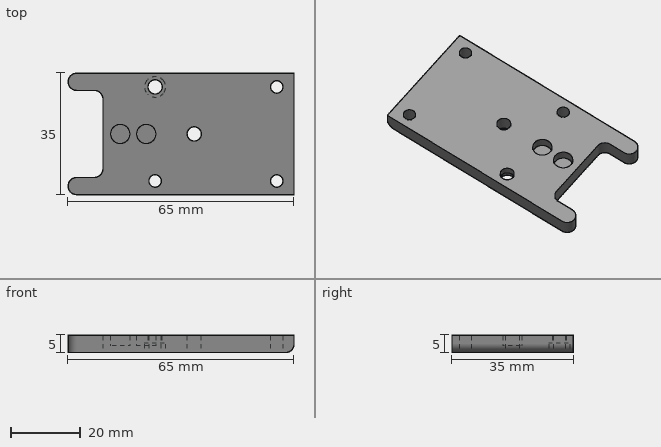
import cadquery as cq

length = 65.0
width = 35.0
thickness = 5.0
bottom_edge_radius = 2.5

notch_depth = 10.0
arm_width = 5.0
notch_width = width - 2 * arm_width
notch_corner_radius = 2.5

small_hole_diameter = 3.5
large_hole_diameter = 4.0
hole_row_offset = 13.5
left_hole_x = 25.0
right_hole_x = 60.0
center_hole_x = 36.3

counterbore_diameter = 6.0
counterbore_ledge = 2.3
counterbore_position = (left_hole_x, hole_row_offset)

pocket_diameter = 5.5
pocket_depth = 3.0
pocket_positions = [(15.0, 0), (22.5, 0)]


def make_plate():
    """Rectangular plate with its lower right edge rounded."""
    plate = cq.Workplane("XY").box(length, width, thickness, centered=(False, True, False))
    return plate.faces(">X").edges("<Z").fillet(bottom_edge_radius)


def cut_notch(plate):
    """Open the left end and round the arm tips and inner corners."""
    tip_radius = arm_width / 2
    half_width = width / 2
    half_notch = notch_width / 2
    notch = (
        cq.Workplane("XY")
        .box(notch_depth, notch_width, thickness, centered=(False, True, False))
        .edges("|Z and >X")
        .fillet(notch_corner_radius)
    )
    plate = plate.cut(notch)
    for side in (-1, 1):
        tip_waste = (
            cq.Workplane("XY")
            .moveTo(tip_radius, side * half_width)
            .threePointArc((0, side * (half_width - tip_radius)), (tip_radius, side * half_notch))
            .lineTo(-tip_radius, side * half_notch)
            .lineTo(-tip_radius, side * half_width)
            .close()
            .extrude(thickness)
        )
        plate = plate.cut(tip_waste)
    return plate


def cut_round(plate, positions, diameter, depth, start_height=thickness):
    """Cut round holes downward from the given height, by default the top face."""
    cutters = (
        cq.Workplane("XY", origin=(0, 0, start_height))
        .pushPoints(positions)
        .circle(diameter / 2)
        .extrude(-depth)
    )
    return plate.cut(cutters)


small_holes = [
    (left_hole_x, -hole_row_offset),
    (right_hole_x, -hole_row_offset),
    (right_hole_x, hole_row_offset),
]
large_holes = [counterbore_position, (center_hole_x, 0)]

result = cut_notch(make_plate())
result = cut_round(result, small_holes, small_hole_diameter, thickness)
result = cut_round(result, large_holes, large_hole_diameter, thickness)
result = cut_round(result, pocket_positions, pocket_diameter, pocket_depth)

counterbore_depth = thickness - counterbore_ledge
result = cut_round(
    result, [counterbore_position], counterbore_diameter, counterbore_depth, start_height=counterbore_depth
)